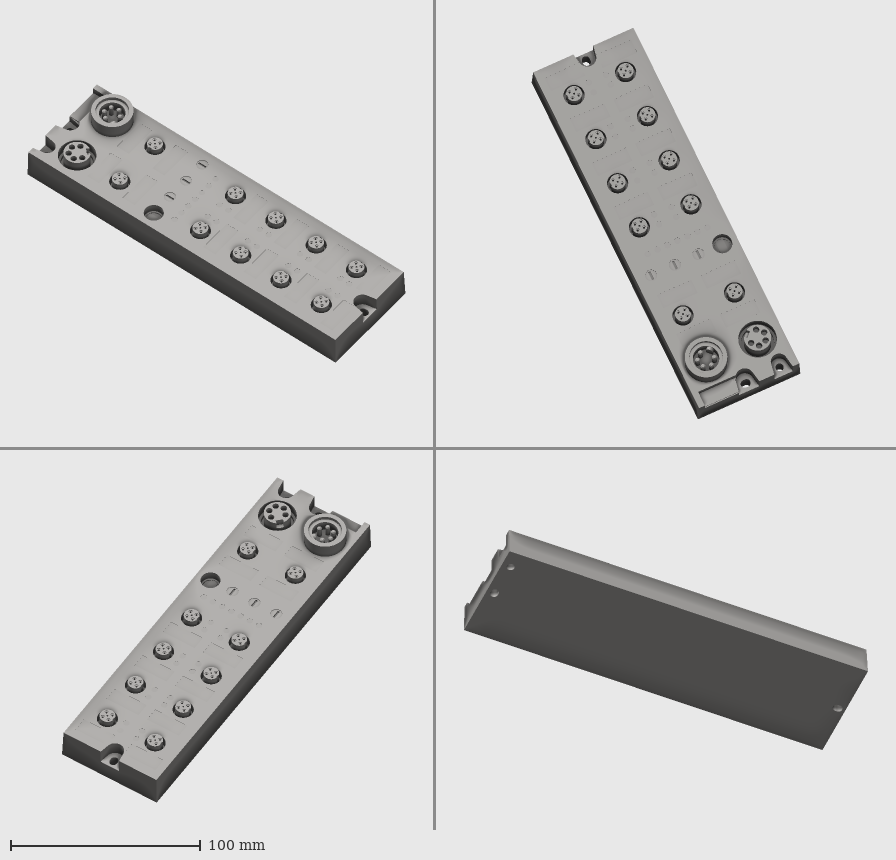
import cadquery as cq
import math

LENGTH = 206.3
WIDTH = 59.59
TOTAL_HEIGHT = 26.34
BODY_HEIGHT = 18.0
DRAFT_INSET = 0.6
X_END = LENGTH / 2
MARK_DEPTH = 0.1

ROW_Y = 15.0
M12_PITCH = 27.0
M12_FIRST_X = 1.0
M12_COLUMNS = [M12_FIRST_X + M12_PITCH * i for i in (-2, 0, 1, 2, 3)]
M12_RECESS_DIA = 11.2
M12_RECESS_DEPTH = 6.0
M12_PLUG_DIA = 8.4
PLUG_TOP = BODY_HEIGHT + 2.5
M12_CONTACT_DIA = 2.0
M12_CONTACT_BORE_DIA = 1.1
M12_CENTER_CONTACT_DIA = 1.0
M12_CONTACT_RADIUS = 2.6
M12_CONTACT_LEAD_IN = 0.5
M12_CONTACT_DEPTH = 4.0
M12_CONTACT_ANGLES = (45, 135, 225, 315)
M12_KEY_ANGLE = 90
M12_REVERSED_KEY_ANGLE = 270
M12_KEY_WIDTH = 1.8
M12_KEY_RADIUS = 3.7

LAMP_DIA = 3.4
LAMP_OFFSET_X = 3.0
LAMP_ROW_Y = 5.0
LAMP_COLUMN_X = -14.3
LAMP_COLUMN_PITCH = 5.8
LAMP_COLUMN_COUNT = 7

LABEL_LENGTH = 20.0
LABEL_WIDTH = 8.0
LABEL_COLUMNS = (-64.8, -41.0, 13.0, 40.0, 67.0)
LABEL_Y = 12.7
END_LABEL_X = 93.2
END_LABEL_Y = 15.1

SWITCH_X = -25.8
SWITCH_PITCH = 13.8
SWITCH_TOP_Y = 20.75
SWITCH_DIA = 6.4
SWITCH_COUNT = 3
SWITCH_DEPTH = 0.4
SWITCH_SLOT_LENGTH = 4.8
SWITCH_SLOT_WIDTH = 1.2
SWITCH_SLOT_DEPTH = 1.0
PORT_Y = SWITCH_TOP_Y - SWITCH_COUNT * SWITCH_PITCH
PORT_DIA = 10.6
PORT_DEPTH = 5.0
PORT_INNER_DIA = 8.7
PORT_INNER_DEPTH = 0.6
PORT_BAR_HEIGHT = 0.3
PORT_BAR_WIDTH = 4.4

POWER_X = -81.6
POWER_CONTACT_RADIUS = 4.5
POWER_CONTACT_STEP = 60
POWER_CONTACT_COUNT = 5
COLLAR_DIA = 22.4
COLLAR_BORE_DIA = 17.8
COLLAR_BORE_DEPTH = 2.0
PIN_BORE_DIA = 14.0
PIN_DIA = 2.6
PIN_CHAMFER = 0.6
PIN_TOP = TOTAL_HEIGHT - COLLAR_BORE_DEPTH
MALE_KEY_ANGLE = 315
MALE_KEY_WIDTH = 3.8
MALE_KEY_RADIUS = 5.2
MALE_KEY_DROP = 0.5
FEMALE_RECESS_DIA = 20.4
FEMALE_RECESS_DEPTH = 6.0
FEMALE_GROOVE_DIA = 17.6
FEMALE_GROOVE_DEPTH = 8.0
FEMALE_PLUG_DIA = 14.4
FEMALE_KEY_ANGLE = 45
FEMALE_KEY_WIDTH = 4.0
FEMALE_KEY_RADIUS = 5.0
FEMALE_KEY_DEPTH = 4.0
SOCKET_DIA = 3.4
SOCKET_DEPTH = 4.0

RECESS_DEPTH = 8.1
MOUNT_INSET = 4.4
MOUNT_HOLE_DIA = 4.3
MOUNT_HOLE_LENGTH = 5.4
END_RECESS = dict(mouth=5.9, throat=4.8, straight=6.1, reach=10.2)
CORNER_RECESS = dict(mouth=5.4, throat=4.4, straight=6.0, reach=9.9)
CORNER_MOUNT_Y = -20.0
CORNER_HOLE_INSET = 4.9

POCKET_Y_MIN = 3.4
POCKET_Y_MAX = 25.8
POCKET_LENGTH = 8.4
POCKET_DEPTH = 4.3
POCKET_PLATE_HEIGHT = 0.6
POCKET_PLATE_SETBACK = 0.5


def cylinder(x, y, diameter, bottom, top):
    return cq.Workplane("XY", origin=(x, y, bottom)).circle(diameter / 2).extrude(top - bottom)


def block(x_min, x_max, y_min, y_max, bottom, top):
    solid = cq.Workplane("XY").box(x_max - x_min, y_max - y_min, top - bottom, centered=False)
    return solid.translate((x_min, y_min, bottom))


def radial_block(x, y, angle, inner, outer, width, bottom, top):
    """Bar reaching from radius `inner` to `outer` about the axis at (x, y)."""
    bar = block(inner, outer, -width / 2, width / 2, bottom, top)
    return bar.rotate((0, 0, 0), (0, 0, 1), angle).translate((x, y, 0))


def polar_points(x, y, radius, angles):
    return [
        (x + radius * math.cos(math.radians(a)), y + radius * math.sin(math.radians(a)))
        for a in angles
    ]


def contact_angles(key_angle):
    return [key_angle + POWER_CONTACT_STEP * (i + 1) for i in range(POWER_CONTACT_COUNT)]


def cut_holes(body, points, diameter, top, depth):
    holes = cq.Workplane("XY", origin=(0, 0, top)).pushPoints(points).circle(diameter / 2)
    return body.cut(holes.extrude(-depth))


def make_housing():
    return (
        cq.Workplane("XY")
        .rect(LENGTH, WIDTH)
        .workplane(offset=BODY_HEIGHT)
        .center(-DRAFT_INSET / 2, 0)
        .rect(LENGTH - DRAFT_INSET, WIDTH - 2 * DRAFT_INSET)
        .loft(ruled=True)
    )


def cut_label_pocket(body):
    floor = BODY_HEIGHT - POCKET_DEPTH
    back = -X_END + POCKET_LENGTH
    pocket = block(-X_END, back, POCKET_Y_MIN, POCKET_Y_MAX, floor, BODY_HEIGHT)
    plate = block(
        -X_END + POCKET_PLATE_SETBACK, back,
        POCKET_Y_MAX - LABEL_LENGTH, POCKET_Y_MAX,
        floor, floor + POCKET_PLATE_HEIGHT,
    )
    return body.cut(pocket).union(plate)


def recess_cutter(mouth, throat, straight, reach):
    """Round-ended recess opening through the -X face, centred on Y = 0."""
    return (
        cq.Workplane("XY", origin=(-X_END, 0, BODY_HEIGHT))
        .moveTo(0, -mouth)
        .lineTo(straight, -throat)
        .threePointArc((reach, 0), (straight, throat))
        .lineTo(0, mouth)
        .close()
        .extrude(-RECESS_DEPTH)
    )


def cut_mounts(body):
    end_recess = recess_cutter(**END_RECESS)
    corner_recess = recess_cutter(**CORNER_RECESS).translate((0, CORNER_MOUNT_Y, 0))
    body = body.cut(end_recess).cut(end_recess.mirror("YZ")).cut(corner_recess)
    hole_x = X_END - MOUNT_INSET
    tall_slot = cq.Workplane("XY").center(-hole_x, 0).slot2D(MOUNT_HOLE_LENGTH, MOUNT_HOLE_DIA, 90)
    long_slot = cq.Workplane("XY").center(hole_x, 0).slot2D(MOUNT_HOLE_LENGTH, MOUNT_HOLE_DIA)
    body = body.cut(tall_slot.extrude(BODY_HEIGHT)).cut(long_slot.extrude(BODY_HEIGHT))
    return body.cut(cylinder(CORNER_HOLE_INSET - X_END, CORNER_MOUNT_Y, MOUNT_HOLE_DIA, 0, BODY_HEIGHT))


def cut_labels(body):
    centers = [(x, y) for x in LABEL_COLUMNS for y in (-LABEL_Y, LABEL_Y)]
    centers += [(END_LABEL_X, y) for y in (-END_LABEL_Y, END_LABEL_Y)]
    plates = cq.Workplane("XY", origin=(0, 0, BODY_HEIGHT)).pushPoints(centers)
    return body.cut(plates.rect(LABEL_WIDTH, LABEL_LENGTH).extrude(-MARK_DEPTH))


def cut_lamps(body):
    centers = [
        (x + dx, y)
        for x in M12_COLUMNS[1:]
        for dx in (-LAMP_OFFSET_X, LAMP_OFFSET_X)
        for y in (-LAMP_ROW_Y, LAMP_ROW_Y)
    ]
    middle = (LAMP_COLUMN_COUNT - 1) / 2
    centers += [(LAMP_COLUMN_X, (i - middle) * LAMP_COLUMN_PITCH) for i in range(LAMP_COLUMN_COUNT)]
    return cut_holes(body, centers, LAMP_DIA, BODY_HEIGHT, MARK_DEPTH)


def cut_switches(body):
    centers = [(SWITCH_X, SWITCH_TOP_Y - i * SWITCH_PITCH) for i in range(SWITCH_COUNT)]
    body = cut_holes(body, centers, SWITCH_DIA, BODY_HEIGHT, SWITCH_DEPTH)
    slots = cq.Workplane("XY", origin=(0, 0, BODY_HEIGHT - SWITCH_DEPTH)).pushPoints(centers)
    return body.cut(slots.rect(SWITCH_SLOT_LENGTH, SWITCH_SLOT_WIDTH).extrude(-SWITCH_SLOT_DEPTH))


def cut_service_port(body):
    floor = BODY_HEIGHT - PORT_DEPTH
    well = cylinder(SWITCH_X, PORT_Y, PORT_DIA, floor, BODY_HEIGHT)
    step = cylinder(SWITCH_X, PORT_Y, PORT_INNER_DIA, floor - PORT_INNER_DEPTH, floor)
    bar = block(
        SWITCH_X - PORT_DIA, SWITCH_X + PORT_DIA,
        PORT_Y - PORT_BAR_WIDTH / 2, PORT_Y + PORT_BAR_WIDTH / 2,
        floor - PORT_INNER_DEPTH, floor - PORT_INNER_DEPTH + PORT_BAR_HEIGHT,
    )
    return body.cut(well).cut(step.cut(bar))


def add_m12_socket(body, x, y, key_angle):
    floor = BODY_HEIGHT - M12_RECESS_DEPTH
    body = body.cut(cylinder(x, y, M12_RECESS_DIA, floor, BODY_HEIGHT))
    plug = cylinder(x, y, M12_PLUG_DIA, floor, PLUG_TOP)
    contacts = polar_points(x, y, M12_CONTACT_RADIUS, M12_CONTACT_ANGLES)
    plug = cut_holes(plug, contacts, M12_CONTACT_DIA, PLUG_TOP, M12_CONTACT_LEAD_IN)
    plug = cut_holes(plug, contacts, M12_CONTACT_BORE_DIA, PLUG_TOP, M12_CONTACT_DEPTH)
    plug = cut_holes(plug, [(x, y)], M12_CENTER_CONTACT_DIA, PLUG_TOP, M12_CONTACT_DEPTH)
    keyway = radial_block(
        x, y, key_angle, M12_KEY_RADIUS, M12_PLUG_DIA, M12_KEY_WIDTH, floor, PLUG_TOP
    )
    return body.union(plug.cut(keyway))


def male_key(x, y):
    """Radial key with a half-round top, reaching inward from inside the collar wall."""
    outer = (PIN_BORE_DIA + COLLAR_DIA) / 4
    crown_radius = MALE_KEY_WIDTH / 2
    crown_height = PIN_TOP - MALE_KEY_DROP - crown_radius
    stem = block(MALE_KEY_RADIUS, outer, -crown_radius, crown_radius, BODY_HEIGHT, crown_height)
    crown = cq.Workplane("YZ", origin=(MALE_KEY_RADIUS, 0, crown_height)).circle(crown_radius)
    key = stem.union(crown.extrude(outer - MALE_KEY_RADIUS))
    return key.rotate((0, 0, 0), (0, 0, 1), MALE_KEY_ANGLE).translate((x, y, 0))


def add_male_power(body):
    x, y = POWER_X, ROW_Y
    collar = cylinder(x, y, COLLAR_DIA, BODY_HEIGHT, TOTAL_HEIGHT)
    collar = collar.cut(cylinder(x, y, COLLAR_BORE_DIA, PIN_TOP, TOTAL_HEIGHT))
    collar = collar.cut(cylinder(x, y, PIN_BORE_DIA, BODY_HEIGHT, PIN_TOP))
    body = body.union(collar).union(male_key(x, y))
    for pin_x, pin_y in polar_points(x, y, POWER_CONTACT_RADIUS, contact_angles(MALE_KEY_ANGLE)):
        pin = cylinder(pin_x, pin_y, PIN_DIA, BODY_HEIGHT, PIN_TOP)
        body = body.union(pin.faces(">Z").chamfer(PIN_CHAMFER))
    return body


def add_female_power(body):
    x, y = POWER_X, -ROW_Y
    groove_floor = BODY_HEIGHT - FEMALE_GROOVE_DEPTH
    body = body.cut(cylinder(x, y, FEMALE_RECESS_DIA, BODY_HEIGHT - FEMALE_RECESS_DEPTH, BODY_HEIGHT))
    body = body.cut(cylinder(x, y, FEMALE_GROOVE_DIA, groove_floor, BODY_HEIGHT))
    plug = cylinder(x, y, FEMALE_PLUG_DIA, groove_floor, PLUG_TOP)
    sockets = polar_points(x, y, POWER_CONTACT_RADIUS, contact_angles(FEMALE_KEY_ANGLE))
    plug = cut_holes(plug, sockets, SOCKET_DIA, PLUG_TOP, SOCKET_DEPTH)
    keyway = radial_block(
        x, y, FEMALE_KEY_ANGLE, FEMALE_KEY_RADIUS, FEMALE_PLUG_DIA,
        FEMALE_KEY_WIDTH, PLUG_TOP - FEMALE_KEY_DEPTH, PLUG_TOP,
    )
    return body.union(plug.cut(keyway))


result = make_housing()
result = cut_label_pocket(result)
result = cut_mounts(result)
result = cut_labels(result)
result = cut_lamps(result)
result = cut_switches(result)
result = cut_service_port(result)
for column_x in M12_COLUMNS:
    for row_y in (ROW_Y, -ROW_Y):
        reversed_key = column_x == M12_COLUMNS[0] and row_y > 0
        key_angle = M12_REVERSED_KEY_ANGLE if reversed_key else M12_KEY_ANGLE
        result = add_m12_socket(result, column_x, row_y, key_angle)
result = add_male_power(result)
result = add_female_power(result)